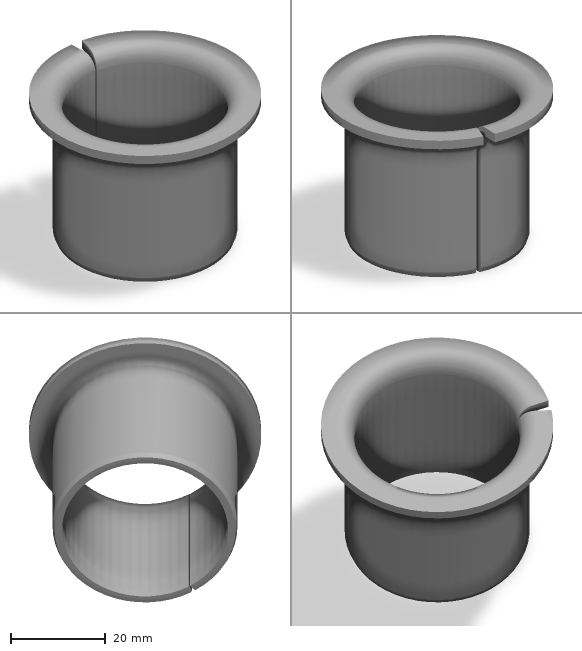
import cadquery as cq
import math

flange_diameter = 49.0
body_diameter = 39.0
wall = 2.0
height = 35.0
outer_bend_radius = 1.5
chamfer_height = 1.22
chamfer_angle = 20.0
seam_apex_distance = 16.35
seam_mouth_width = 2.75
cutter_overrun = 2.45

flange_radius = flange_diameter / 2
outer_radius = body_diameter / 2
inner_radius = outer_radius - wall
flange_bottom = height - wall
bend_radius = outer_bend_radius + wall
bend_center_x = outer_radius + outer_bend_radius
bend_center_z = flange_bottom - outer_bend_radius
chamfer_width = chamfer_height * math.tan(math.radians(chamfer_angle))
diagonal = math.sqrt(0.5)


def bend_midpoint(radius):
    """Middle of a quarter arc about the shared bend center."""
    return (bend_center_x - radius * diagonal, bend_center_z + radius * diagonal)


def flanged_sleeve():
    """Sleeve bent outward into a flange, with a lead-in chamfer at its foot."""
    return (
        cq.Workplane("XZ")
        .moveTo(inner_radius, 0)
        .lineTo(outer_radius - chamfer_width, 0)
        .lineTo(outer_radius, chamfer_height)
        .lineTo(outer_radius, bend_center_z)
        .threePointArc(bend_midpoint(outer_bend_radius), (bend_center_x, flange_bottom))
        .lineTo(flange_radius, flange_bottom)
        .lineTo(flange_radius, height)
        .lineTo(bend_center_x, height)
        .threePointArc(bend_midpoint(bend_radius), (inner_radius, bend_center_z))
        .close()
        .revolve(360, (0, 0), (0, 1))
        .rotate((0, 0, 0), (0, 0, 1), 180)
    )


def seam_cutter():
    """V-shaped split through the -X wall over the full height."""
    half_mouth = seam_mouth_width / 2
    rim_distance = math.sqrt(flange_radius**2 - half_mouth**2)
    slope = half_mouth / (rim_distance - seam_apex_distance)
    cutter_reach = flange_radius + cutter_overrun
    cutter_half_width = slope * (cutter_reach - seam_apex_distance)
    return (
        cq.Workplane("XY")
        .moveTo(-seam_apex_distance, 0)
        .lineTo(-cutter_reach, cutter_half_width)
        .lineTo(-cutter_reach, -cutter_half_width)
        .close()
        .extrude(height)
    )


result = flanged_sleeve().cut(seam_cutter())